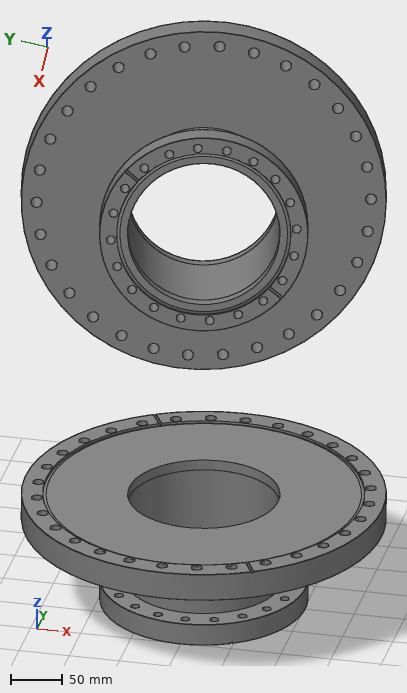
import cadquery as cq

total_height = 115.0
bore_diameter = 148.0
tube_diameter = 154.0

large_diameter = 355.3
large_thickness = 28.0
large_bolt_circle = 325.5
large_hole_diameter = 10.5
large_hole_count = 30
large_first_hole_angle = -67.5
large_recess_diameter = 313.5
large_knife_diameter = 307.0
large_socket_shoulder = 12.0

small_diameter = 203.0
small_thickness = 22.5
small_bolt_circle = 181.2
small_hole_diameter = 8.5
small_hole_count = 20
small_first_hole_angle = 52.6
small_recess_diameter = 169.5
small_knife_diameter = 163.0
small_socket_shoulder = 12.8

recess_depth = 2.5
knife_depth = 1.5
groove_width = 2.5
groove_depth = 1.0
groove_overrun = 1.5
rim_chamfer = 0.5


def flange_blank(diameter, thickness, recess_diameter, knife_diameter, shoulder):
    """Ring with its sealing face at z = 0, both rims chamfered and a socket for the tube in its back."""
    profile = [
        (bore_diameter / 2, -knife_depth),
        (knife_diameter / 2, -knife_depth),
        (recess_diameter / 2, -recess_depth),
        (recess_diameter / 2, 0),
        (diameter / 2 - rim_chamfer, 0),
        (diameter / 2, -rim_chamfer),
        (diameter / 2, rim_chamfer - thickness),
        (diameter / 2 - rim_chamfer, -thickness),
        (tube_diameter / 2, -thickness),
        (tube_diameter / 2, -shoulder),
        (bore_diameter / 2, -shoulder),
    ]
    return cq.Workplane("XZ").polyline(profile).close().revolve(360, (0, 0), (0, 1))


def bolt_holes(thickness, bolt_circle, hole_diameter, hole_count):
    """Cutter for the through holes, the first one on the X axis."""
    return (
        cq.Workplane("XY")
        .polarArray(bolt_circle / 2, 0, 360, hole_count)
        .circle(hole_diameter / 2)
        .extrude(-thickness)
    )


def leak_grooves(diameter, recess_diameter, hole_count):
    """Cutter for two opposite radial grooves, midway between neighbouring holes."""
    length = (diameter - recess_diameter) / 2 + groove_overrun
    middle_radius = (diameter + recess_diameter) / 4
    return (
        cq.Workplane("XY")
        .pushPoints([(middle_radius, 0), (-middle_radius, 0)])
        .rect(length, groove_width)
        .extrude(-groove_depth)
        .rotate((0, 0, 0), (0, 0, 1), 180 / hole_count)
    )


def make_flange(
    diameter, thickness, recess_diameter, knife_diameter, shoulder, bolt_circle, hole_diameter, hole_count
):
    blank = flange_blank(diameter, thickness, recess_diameter, knife_diameter, shoulder)
    drilled = blank.cut(bolt_holes(thickness, bolt_circle, hole_diameter, hole_count))
    return drilled.cut(leak_grooves(diameter, recess_diameter, hole_count))


large_flange = make_flange(
    large_diameter,
    large_thickness,
    large_recess_diameter,
    large_knife_diameter,
    large_socket_shoulder,
    large_bolt_circle,
    large_hole_diameter,
    large_hole_count,
).rotate((0, 0, 0), (0, 0, 1), large_first_hole_angle)

small_flange = (
    make_flange(
        small_diameter,
        small_thickness,
        small_recess_diameter,
        small_knife_diameter,
        small_socket_shoulder,
        small_bolt_circle,
        small_hole_diameter,
        small_hole_count,
    )
    .rotate((0, 0, 0), (0, 0, 1), small_first_hole_angle)
    .rotate((0, 0, 0), (1, 0, 0), 180)
    .translate((0, 0, -total_height))
)

tube_length = total_height - large_socket_shoulder - small_socket_shoulder
tube = (
    cq.Workplane("XY")
    .workplane(offset=-large_socket_shoulder)
    .circle(tube_diameter / 2)
    .circle(bore_diameter / 2)
    .extrude(-tube_length)
)

result = cq.Compound.makeCompound([large_flange.val(), small_flange.val(), tube.val()])